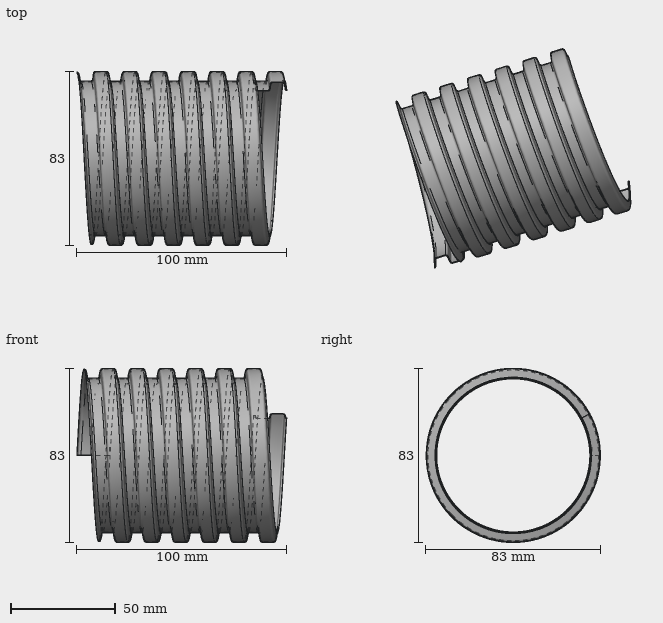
import cadquery as cq
import math

length = 100.0
crown_radius = 41.5
bore_radius = 36.5
thickness = 0.4
bend_radius = 1.2
wall_slope = math.radians(8)
full_turns = 6
end_angle = 28.6
seam_gap = 0.02

turns = full_turns + end_angle / 360
crown_center = crown_radius - bend_radius
valley_center = bore_radius + bend_radius


def wall_width(radius_sum):
    """Axial distance between the bend centers joined by a leaning wall."""
    rise = crown_center - valley_center
    return (radius_sum + rise * math.sin(wall_slope)) / math.cos(wall_slope)


seam_width = wall_width(2 * bend_radius - 2 * thickness)
single_width = wall_width(2 * bend_radius - thickness)
pitch = (length - seam_width + seam_gap) / (turns + 1)
lead = pitch - seam_gap
flat = (lead - seam_width - single_width) / 2

lip_start = 0.0
valley_start = seam_width
valley_end = valley_start + flat
crown_start = valley_end + single_width
crown_end = lead
lip_end = crown_end + seam_width


def bend_points(center, center_radius, bend, outward, side):
    """Flat end, middle and wall end of a bend, as (radius, axial) points."""
    sweep = math.pi / 2 - wall_slope
    return [
        (
            center_radius + outward * bend * math.cos(angle),
            center + side * bend * math.sin(angle),
        )
        for angle in (0, sweep / 2, sweep)
    ]


def wall_points(crown, crown_bend, valley, valley_bend):
    """Two bends of one wall face, listed from the crown flat to the valley flat."""
    side = math.copysign(1, valley - crown)
    upper = bend_points(crown, crown_center, crown_bend, 1, side)
    lower = bend_points(valley, valley_center, valley_bend, -1, -side)
    return upper + lower[::-1]


def draw_face(outline, points):
    """Continue the outline along a wall face: line, bend, line, bend."""
    first, first_mid, first_end, second, second_mid, second_end = points
    outline = outline.lineTo(*first).threePointArc(first_mid, first_end)
    return outline.lineTo(*second).threePointArc(second_mid, second_end)


def strip_profile():
    large = bend_radius
    medium = bend_radius - thickness
    small = bend_radius - 2 * thickness
    outer_faces = [
        wall_points(lip_start, medium, valley_start, medium),
        wall_points(crown_start, large, valley_end, medium)[::-1],
        wall_points(crown_end, large, lip_end, small),
    ]
    inner_faces = [
        wall_points(crown_end, medium, lip_end, medium)[::-1],
        wall_points(crown_start, medium, valley_end, large),
        wall_points(lip_start, small, valley_start, large)[::-1],
    ]
    start = (crown_center + small, lip_start)
    outline = cq.Workplane("XZ").moveTo(*start)
    for points in outer_faces + inner_faces:
        outline = draw_face(outline, points)
    return outline.close()


helix = cq.Wire.makeHelix(pitch, pitch * turns, bore_radius)
coil = strip_profile().sweep(cq.Workplane(obj=helix), isFrenet=True)
coil = coil.rotate((0, 0, 0), (1, 1, 1), 120)
result = coil.translate((-length / 2, 0, 0))